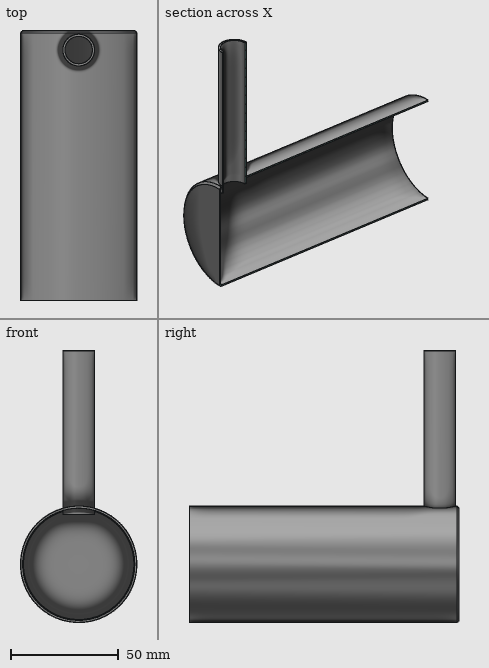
import cadquery as cq
import math

cup_diameter = 54.0
cup_length = 125.0
wall = 1.0
end_chamfer = 1.0

tube_diameter = 14.7
tube_wall = 1.0
tube_setback = 9.0
overall_height = 126.0
tube_length = 76.0

cup_radius = cup_diameter / 2
floor_chamfer = end_chamfer - wall * (2 - math.sqrt(2))
tube_y = cup_length - tube_setback
tube_top = overall_height - cup_radius
tube_bottom = tube_top - tube_length


def cylinder_along_y(diameter, length):
    """Cylinder on the Y axis, starting at y = 0 and growing toward +Y."""
    return cq.Workplane("XZ").circle(diameter / 2).extrude(-length)


def tube_cylinder(diameter):
    """Upright cylinder on the tube axis, as long as the tube."""
    return (
        cq.Workplane("XY", origin=(0, tube_y, tube_bottom))
        .circle(diameter / 2)
        .extrude(tube_length)
    )


def make_cup():
    outside = (
        cylinder_along_y(cup_diameter, cup_length)
        .faces(">Y").edges().chamfer(end_chamfer)
    )
    cavity = (
        cylinder_along_y(cup_diameter - 2 * wall, cup_length - wall)
        .faces(">Y").edges().chamfer(floor_chamfer)
    )
    tube_hole = tube_cylinder(tube_diameter)
    return outside.cut(cavity).cut(tube_hole)


def make_tube():
    bore = tube_cylinder(tube_diameter - 2 * tube_wall)
    return tube_cylinder(tube_diameter).cut(bore)


cup = make_cup()
tube = make_tube()

result = cq.Compound.makeCompound([cup.val(), tube.val()])